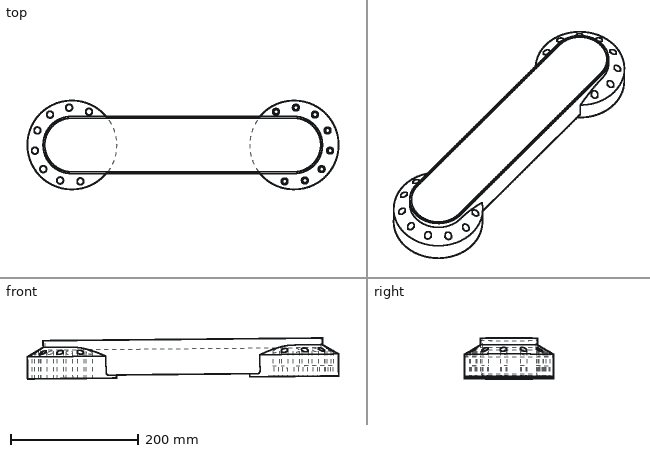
import cadquery as cq
import math

hub_radius = 70.0
level_length = 490.0
hub_offset = level_length / 2 - hub_radius
tilt_angle = 0.55

hub_wall_height = 35.0
cone_angle = 30.5

link_radius = 45.0
link_bottom = 5.0
link_top = 60.5
link_edge_fillet = 5.0

rim_width = 3.0
tray_depth = 14.5
tray_floor_fillet = 1.5

bolt_circle_radius = 59.0
bolt_count = 8
bolt_pitch_angle = 31.5
first_bolt_angle = 62.7
bolt_hole_diameter = 10.5
right_bolt_hole_diameter = 7.5
right_bolt_circle_shift = 1.5
right_counterbore_floor = 17.0


def stadium(radius, bottom, top):
    """Upright rounded-end bar whose end arcs are centred on the hubs."""
    return (
        cq.Workplane("XY")
        .workplane(offset=bottom)
        .slot2D(2 * (hub_offset + radius), 2 * radius)
        .extrude(top - bottom)
    )


def hub(x):
    """Round hub with a conical shoulder that meets the link end."""
    cone_top = hub_wall_height + (hub_radius - link_radius) * math.tan(math.radians(cone_angle))
    profile = [
        (0, 0),
        (hub_radius, 0),
        (hub_radius, hub_wall_height),
        (link_radius, cone_top),
        (0, cone_top),
    ]
    return (
        cq.Workplane("XZ")
        .polyline(profile)
        .close()
        .revolve(360, (0, 0, 0), (0, 1, 0))
        .translate((x, 0, 0))
    )


def bolt_points(side):
    """Hole centres of one hub; side is -1 for the -X hub and +1 for the mirrored +X hub."""
    centre = hub_offset
    if side > 0:
        centre -= right_bolt_circle_shift
    points = []
    for i in range(bolt_count):
        angle = math.radians(first_bolt_angle + i * bolt_pitch_angle)
        x = centre - bolt_circle_radius * math.cos(angle)
        points.append((side * x, bolt_circle_radius * math.sin(angle)))
    return points


def bolt_cutters(side, diameter, bottom):
    """Vertical pins at the bolt points, from the given level up past the cone."""
    return (
        cq.Workplane("XY")
        .workplane(offset=bottom)
        .pushPoints(bolt_points(side))
        .circle(diameter / 2)
        .extrude(link_top - bottom)
    )


link = stadium(link_radius, link_bottom, link_top).faces("<Z").edges().fillet(link_edge_fillet)
body = link.union(hub(-hub_offset)).union(hub(hub_offset))

tray_floor = link_top - tray_depth
tray_radius = link_radius - rim_width
tray = stadium(tray_radius, tray_floor, link_top).faces("<Z").edges().fillet(tray_floor_fillet)
body = body.cut(tray)

body = body.cut(bolt_cutters(-1, bolt_hole_diameter, 0))
body = body.cut(bolt_cutters(1, right_bolt_hole_diameter, 0))
body = body.cut(bolt_cutters(1, bolt_hole_diameter, right_counterbore_floor))

result = body.rotate((0, 0, 0), (0, 1, 0), -tilt_angle)